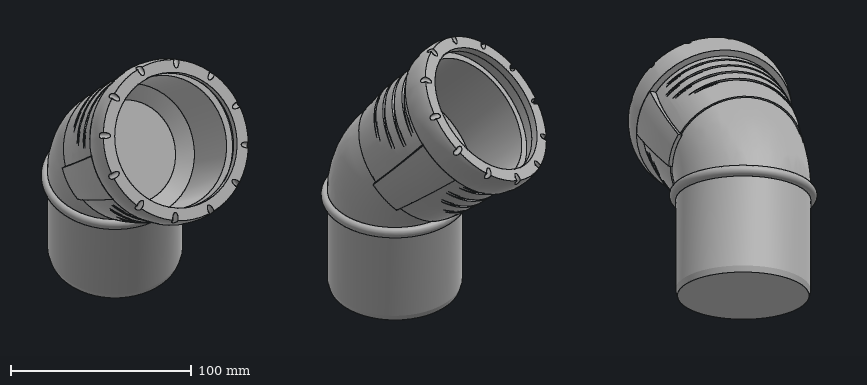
import cadquery as cq
import math

bend_angle = 45.0
bend_height = 75.7
socket_reach = 76.2
bend_tangent = 12.9
bend_radius = bend_tangent / math.tan(math.radians(bend_angle / 2))
bend_start = bend_height - bend_tangent

pipe_radius = 37.6
bead_radius = 41.1
bead_bottom = 56.8
bead_top = bend_start
bead_round = 2.9
tip_chamfer_height = 3.4
tip_chamfer_width = 1.0

cap_length = 17.0
cap_end_radius = 45.0
cap_crown_radius = 46.5
cap_lip_thickness = 4.4
cap_lip_radius = 37.9
cap_bottom = socket_reach - cap_length

socket_radius = 41.3
socket_bore_radius = pipe_radius
socket_inset = 12.5
socket_end = socket_reach - socket_inset
socket_root_radius = 38.4
crown_height = 38.7
crown_radius = 41.8
bore_cone_top = 23.4
bore_floor = 17.1
bore_floor_radius = 29.0

groove_count = 4
groove_pitch = 8.0
groove_width = 1.8
first_groove = 29.5
groove_floor_radius = 43.5
groove_floor_offset = 3.5

panel_bottom = 11.5
panel_top_radius = 44.9
panel_middle_radius = 43.4
panel_bottom_radius = 39.9
panel_top_half_width = 13.4
panel_bottom_half_width = 9.8

notch_count = 12
notch_radius = 1.6
notch_slope = 30.0
notch_inner_radius = 40.5

cut_margin = 16.1


def disc(radius, bottom, top):
    return cq.Workplane("XY").workplane(offset=bottom).circle(radius).extrude(top - bottom)


def revolved(profile):
    """Turn a closed XZ profile around the Z axis."""
    return profile.close().revolve(360, (0, 0, 0), (0, 1, 0))


def place_on_socket_axis(shape):
    """Move a shape built along Z from the origin onto the leaning socket axis."""
    return shape.rotate((0, 0, 0), (0, 1, 0), bend_angle).translate((0, 0, bend_height))


def bend():
    """Round bend, with its section trimmed at the bend axis because the bend is tight."""
    half_chord = math.sqrt(pipe_radius**2 - bend_radius**2)
    return (
        cq.Workplane("XY").workplane(offset=bend_start)
        .moveTo(bend_radius, half_chord)
        .threePointArc((-pipe_radius, 0), (bend_radius, -half_chord))
        .close()
        .revolve(bend_angle, (bend_radius, 0, 0), (bend_radius, 1, 0))
    )


def spigot():
    pipe = revolved(
        cq.Workplane("XZ").moveTo(0, 0)
        .lineTo(pipe_radius - tip_chamfer_width, 0)
        .lineTo(pipe_radius, tip_chamfer_height)
        .lineTo(pipe_radius, bend_start)
        .lineTo(0, bend_start)
    )
    bead = disc(bead_radius, bead_bottom, bead_top).edges().fillet(bead_round)
    return pipe.union(bead)


def socket_outside():
    return revolved(
        cq.Workplane("XZ").moveTo(0, bend_tangent)
        .lineTo(socket_root_radius, bend_tangent)
        .threePointArc((crown_radius, crown_height), (socket_radius, cap_bottom))
        .lineTo(socket_radius, socket_end)
        .lineTo(0, socket_end)
    )


def socket_bore():
    return revolved(
        cq.Workplane("XZ").moveTo(0, bore_floor)
        .lineTo(bore_floor_radius, bore_floor)
        .lineTo(socket_bore_radius, bore_cone_top)
        .lineTo(socket_bore_radius, socket_end)
        .lineTo(0, socket_end)
    )


def side_panels():
    crowned = revolved(
        cq.Workplane("XZ").moveTo(0, panel_bottom)
        .lineTo(panel_bottom_radius, panel_bottom)
        .threePointArc(
            (panel_middle_radius, (panel_bottom + cap_bottom) / 2),
            (panel_top_radius, cap_bottom),
        )
        .lineTo(0, cap_bottom)
    )
    outline = (
        cq.Workplane("XZ")
        .moveTo(-panel_bottom_half_width, panel_bottom)
        .lineTo(panel_bottom_half_width, panel_bottom)
        .lineTo(panel_top_half_width, cap_bottom)
        .lineTo(-panel_top_half_width, cap_bottom)
        .close()
        .extrude(panel_top_radius + cut_margin, both=True)
    )
    return crowned.intersect(outline)


def grip_groove(side, height):
    """Crescent cutter outside an off-centre floor circle; side is -1 or 1 along X."""
    bottom = height - groove_width / 2
    top = height + groove_width / 2
    reach = socket_radius + cut_margin
    half = cq.Workplane("XY").box(reach, 2 * reach, groove_width).translate((side * reach / 2, 0, height))
    floor = disc(groove_floor_radius, bottom, top).translate((-side * groove_floor_offset, 0, 0))
    return half.cut(floor)


def make_elbow():
    socket = socket_outside()
    for side in (-1, 1):
        for index in range(groove_count):
            socket = socket.cut(grip_groove(side, first_groove + index * groove_pitch))
    socket = socket.union(side_panels())
    outside = spigot().union(bend()).union(place_on_socket_axis(socket))
    return outside.cut(place_on_socket_axis(socket_bore()))


def make_cap():
    lip_bottom = socket_reach - cap_lip_thickness
    cap = revolved(
        cq.Workplane("XZ").moveTo(socket_radius, cap_bottom)
        .lineTo(cap_end_radius, cap_bottom)
        .threePointArc(
            (cap_crown_radius, socket_reach - cap_length / 2),
            (cap_end_radius, socket_reach),
        )
        .lineTo(cap_lip_radius, socket_reach)
        .lineTo(cap_lip_radius, lip_bottom)
        .lineTo(socket_radius, lip_bottom)
    )
    notch = (
        cq.Workplane("YZ").center(0, notch_radius)
        .circle(notch_radius)
        .extrude(cut_margin, both=True)
        .rotate((0, 0, 0), (0, 1, 0), notch_slope)
        .translate((notch_inner_radius, 0, socket_reach))
    )
    for index in range(notch_count):
        cap = cap.cut(notch.rotate((0, 0, 0), (0, 0, 1), index * 360 / notch_count))
    return place_on_socket_axis(cap)


elbow = make_elbow()
cap = make_cap()
result = cq.Compound.makeCompound([elbow.val(), cap.val()])